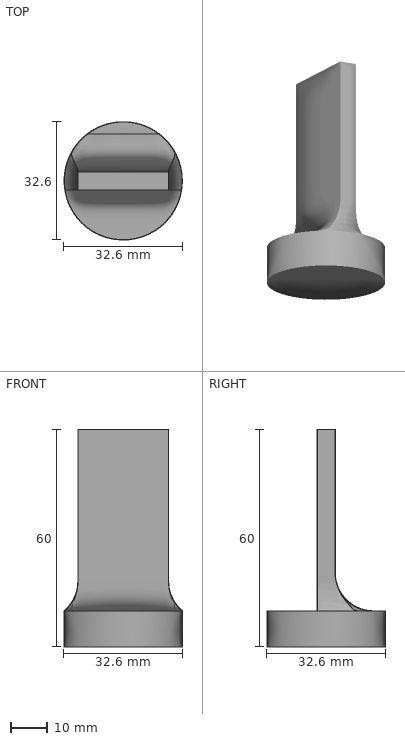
import cadquery as cq
import math

total_height = 60.0
base_diameter = 32.6
base_height = 10.0
blade_width = 25.0
blade_thickness = 5.0
root_radius = 10.45

rim_clearance = 0.01
path_points = 15
end_roll = 13.4
back_roll = 21.0
joint_overlap = 0.05
front_overrun = 1.2

base_radius = base_diameter / 2
half_width = blade_width / 2
half_thickness = blade_thickness / 2
blade_height = total_height - base_height
back_offset = half_thickness + root_radius
rim_contact_x = math.sqrt(base_radius**2 - back_offset**2)


def ball_height(along, offset):
    """Height of the ball centre when the ball rides just above the base top or its rim."""
    rim_gap = max(math.hypot(along, offset) - base_radius, 0)
    return base_height + math.sqrt(root_radius**2 - rim_gap**2) + rim_clearance


def root_cutter(face_distance, start, end):
    """Space swept by a ball rolling along X against a face at +Y, and all above its path."""
    offset = face_distance + root_radius
    step = (end - start) / (path_points - 1)
    places = [start + i * step for i in range(path_points)]
    centres = [(x, ball_height(x, offset)) for x in places]

    path_plane = cq.Plane.named("XZ", origin=(0, offset, 0))
    path = cq.Workplane(path_plane).spline(centres)
    start_plane = cq.Plane(
        origin=(start, offset, centres[0][1]),
        xDir=(0, 1, 0),
        normal=path.val().tangentAt(0),
    )
    tube = cq.Workplane(start_plane).circle(root_radius).sweep(path)
    above = (
        cq.Workplane(path_plane)
        .moveTo(start, total_height)
        .lineTo(*centres[0])
        .spline(centres[1:], includeCurrent=True)
        .lineTo(end, total_height)
        .close()
        .extrude(root_radius, both=True)
    )
    return [tube, above]


def straight_cutter():
    """Space swept by the ball along the middle of the back, where its path is level."""
    half_length = rim_contact_x + joint_overlap
    length = 2 * half_length
    centre_height = ball_height(0, back_offset)
    centre = cq.Workplane("YZ", origin=(-half_length, back_offset, centre_height))
    above_height = total_height - centre_height
    cylinder = centre.circle(root_radius).extrude(length)
    above = centre.center(0, above_height / 2).rect(2 * root_radius, above_height).extrude(length)
    return [cylinder, above]


base = cq.Workplane("XY").circle(base_radius).extrude(base_height)

blank_box = (
    cq.Workplane("XY")
    .box(base_radius, blade_thickness + root_radius, total_height, centered=False)
    .translate((0, -half_thickness, 0))
)
half_blade = (
    cq.Workplane("XY", origin=(0, 0, base_height))
    .circle(base_radius)
    .extrude(blade_height)
    .intersect(blank_box)
)

back_middle = straight_cutter()
back_side = root_cutter(half_thickness, rim_contact_x, back_roll)
right_end = [
    cutter.rotate((0, 0, 0), (0, 0, 1), -90)
    for cutter in root_cutter(half_width, -end_roll, half_thickness + front_overrun)
]
for cutter in back_middle + back_side + right_end:
    half_blade = half_blade.cut(cutter)

result = base.union(half_blade.union(half_blade.mirror("YZ")))